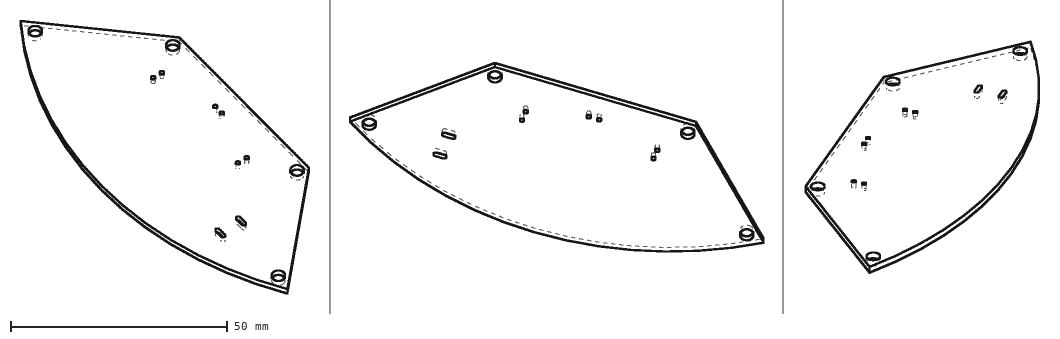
import cadquery as cq

width = 101.8
depth = 41.4
thickness = 1.6
back_edge_length = 49.5
half_width = width / 2
half_back = back_edge_length / 2
corner_y = half_back - half_width

mount_diameter = 3.2
mount_back_x = 23.7
mount_back_y = -2.6
mount_front_x = 46.4
mount_front_y = mount_back_y - (mount_front_x - mount_back_x)

lead_diameter = 1.0
lead_pitch = 2.5
back_pair_x = -1.8
back_pair_y = -6.0
left_pair_x = -18.7
right_pair_x = 13.6
side_pair_y = -10.9

slot_length = 3.2
slot_width = 1.0
slot_x = 28.0
slot_back_y = -22.2
slot_spacing = 6.0


def make_plate():
    """Flat plate with a straight back, 45 degree sides and an arched front."""
    return (
        cq.Workplane("XY")
        .moveTo(-half_back, 0)
        .lineTo(half_back, 0)
        .lineTo(half_width, corner_y)
        .threePointArc((0, -depth), (-half_width, corner_y))
        .close()
        .extrude(thickness)
    )


def through_holes(points, diameter):
    """Cylinders that cut holes through the plate."""
    return cq.Workplane("XY").pushPoints(points).circle(diameter / 2).extrude(thickness)


mount_points = []
for side in (-1, 1):
    mount_points.append((side * mount_back_x, mount_back_y))
    mount_points.append((side * mount_front_x, mount_front_y))

lead_points = []
for offset in (-lead_pitch / 2, lead_pitch / 2):
    lead_points.append((back_pair_x + offset, back_pair_y))
    lead_points.append((left_pair_x, side_pair_y + offset))
    lead_points.append((right_pair_x, side_pair_y + offset))

slot_points = [(slot_x, slot_back_y), (slot_x, slot_back_y - slot_spacing)]
slots = cq.Workplane("XY").pushPoints(slot_points).slot2D(slot_length, slot_width).extrude(thickness)

result = (
    make_plate()
    .cut(through_holes(mount_points, mount_diameter))
    .cut(through_holes(lead_points, lead_diameter))
    .cut(slots)
)